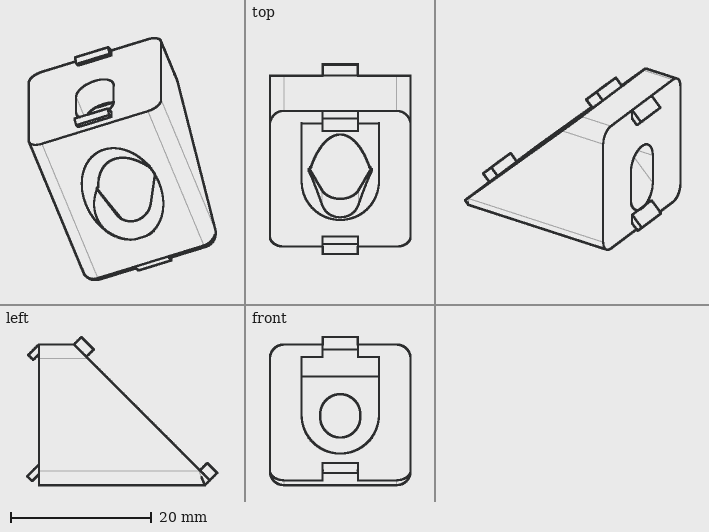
import cadquery as cq
import math

WIDTH = 20.0
HEIGHT = 20.0
TOP_DEPTH = 5.0
CORNER_RADIUS = 2.0
TOE_TRIM = 1.0

POCKET_WIDTH = 11.0
POCKET_CENTER_Z = HEIGHT / 2
POCKET_CEILING = 2.5
BACK_WALL = 4.0

BACK_HOLE_DIAMETER = 5.65
BACK_HOLE_Z = 10.1
BACK_HOLE_STRETCH = 0.48

SLOPE_HOLE_DISTANCE = 18.85
BASE_BORE_RADIUS = 5.5
BORE_CEILING_DEPTH = 4.0
NECK_RADIUS = 2.8
NECK_FLARE_ANGLE = 22.5
NECK_FLANK_LENGTH = 5.0

TAB_WIDTH = 5.0
FRONT_TAB_THICKNESS = 1.5
UPPER_FRONT_TAB_LENGTH = POCKET_CEILING
LOWER_FRONT_TAB_LENGTH = 2.0
BACK_TAB_THICKNESS = 1.0
UPPER_BACK_TAB_REACH = 1.5
LOWER_BACK_TAB_REACH = 1.64
LOWER_BACK_TAB_Z = 2.92

BOTTOM_DEPTH = TOP_DEPTH + HEIGHT
SLOPE_LENGTH = HEIGHT * math.sqrt(2) - TOE_TRIM
THROUGH = 2 * BOTTOM_DEPTH


def slope_plane(depth=0.0):
    """Plane parallel to the sloped face; origin under its top edge, local +y pointing uphill."""
    face = cq.Plane(origin=(0, -TOP_DEPTH, HEIGHT), xDir=(1, 0, 0), normal=(0, -1, 1))
    return cq.Workplane(face).workplane(offset=-depth)


def side_profile(points, width):
    """Prism centred on x = 0 from (y, z) outline points."""
    return cq.Workplane("YZ").polyline(points).close().extrude(width / 2, both=True)


def make_body():
    wedge = side_profile(
        [(0, 0), (-BOTTOM_DEPTH, 0), (-TOP_DEPTH, HEIGHT), (0, HEIGHT)],
        WIDTH,
    )
    rounded_bar = (
        cq.Workplane("XY")
        .box(WIDTH, BOTTOM_DEPTH, HEIGHT, centered=(True, False, False))
        .translate((0, -BOTTOM_DEPTH, 0))
        .edges("|Y")
        .fillet(CORNER_RADIUS)
    )
    toe_outline = (
        slope_plane()
        .rect(WIDTH, 2 * SLOPE_LENGTH)
        .extrude(-THROUGH)
        .edges("|(0, -1, 1)")
        .fillet(CORNER_RADIUS)
    )
    return wedge.intersect(rounded_bar).intersect(toe_outline)


def make_pocket():
    radius = POCKET_WIDTH / 2
    channel = (
        cq.Workplane("XZ", origin=(0, -BACK_WALL, 0))
        .moveTo(-radius, HEIGHT)
        .lineTo(-radius, POCKET_CENTER_Z)
        .threePointArc((0, POCKET_CENTER_Z - radius), (radius, POCKET_CENTER_Z))
        .lineTo(radius, HEIGHT)
        .close()
        .extrude(THROUGH)
    )
    below_ceiling = (
        slope_plane()
        .center(0, -POCKET_CEILING - THROUGH / 2)
        .rect(POCKET_WIDTH, THROUGH)
        .extrude(THROUGH, both=True)
    )
    return channel.intersect(below_ceiling)


def make_back_hole():
    """Slot with a level top and a floor that drops 45 degrees toward the back face."""
    rear_stretch = BACK_HOLE_STRETCH + BACK_WALL
    rear_middle_z = BACK_HOLE_Z - rear_stretch / 2
    return (
        cq.Workplane("XZ", origin=(0, 0, rear_middle_z))
        .slot2D(rear_stretch + BACK_HOLE_DIAMETER, BACK_HOLE_DIAMETER, 90)
        .workplane(offset=BACK_WALL)
        .center(0, (rear_stretch - BACK_HOLE_STRETCH) / 2)
        .slot2D(BACK_HOLE_STRETCH + BACK_HOLE_DIAMETER, BACK_HOLE_DIAMETER, 90)
        .loft(ruled=True)
    )


def make_base_bore():
    return (
        slope_plane(BORE_CEILING_DEPTH)
        .center(0, -SLOPE_HOLE_DISTANCE)
        .circle(BASE_BORE_RADIUS)
        .extrude(-THROUGH)
    )


def make_neck():
    """Rounded downhill end with flanks flaring uphill, from the bore's ledge to the slope."""
    flare = math.radians(NECK_FLARE_ANGLE)
    tangent_x = NECK_RADIUS * math.cos(flare)
    tangent_y = -NECK_RADIUS * math.sin(flare)
    flank_x = tangent_x + NECK_FLANK_LENGTH * math.sin(flare)
    flank_y = tangent_y + NECK_FLANK_LENGTH * math.cos(flare)
    return (
        slope_plane(BORE_CEILING_DEPTH)
        .center(0, -SLOPE_HOLE_DISTANCE)
        .moveTo(-flank_x, flank_y)
        .lineTo(-tangent_x, tangent_y)
        .threePointArc((0, -NECK_RADIUS), (tangent_x, tangent_y))
        .lineTo(flank_x, flank_y)
        .close()
        .extrude(BORE_CEILING_DEPTH)
    )


def make_front_tab(upper_end, length):
    """Tab on the sloped face; upper_end is its distance from the slope's top edge."""
    return (
        slope_plane()
        .center(0, -upper_end - length / 2)
        .rect(TAB_WIDTH, length)
        .extrude(FRONT_TAB_THICKNESS)
    )


def make_back_tab(top_z, reach):
    """Tab leaning 45 degrees down and back from the back face."""
    step = BACK_TAB_THICKNESS / math.sqrt(2)
    return side_profile(
        [
            (0, top_z),
            (reach, top_z - reach),
            (reach - step, top_z - reach - step),
            (0, top_z - 2 * step),
        ],
        TAB_WIDTH,
    )


result = (
    make_body()
    .cut(make_pocket())
    .cut(make_back_hole())
    .cut(make_base_bore())
    .cut(make_neck())
    .union(make_front_tab(0, UPPER_FRONT_TAB_LENGTH))
    .union(make_front_tab(SLOPE_LENGTH - LOWER_FRONT_TAB_LENGTH, LOWER_FRONT_TAB_LENGTH))
    .union(make_back_tab(HEIGHT, UPPER_BACK_TAB_REACH))
    .union(make_back_tab(LOWER_BACK_TAB_Z, LOWER_BACK_TAB_REACH))
)